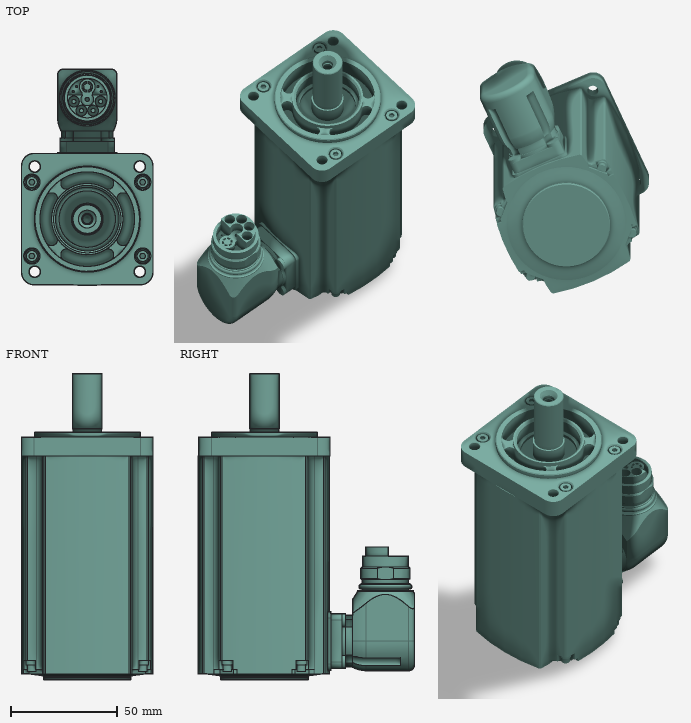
import cadquery as cq
import math

TOTAL_HEIGHT = 144.5
SHAFT_LENGTH = 30.0
FLANGE_TOP = TOTAL_HEIGHT - SHAFT_LENGTH
PILOT_HEIGHT = 2.5
PILOT_TOP = FLANGE_TOP + PILOT_HEIGHT
FLANGE_THICKNESS = 9.0
FLANGE_BOTTOM = FLANGE_TOP - FLANGE_THICKNESS
BODY_BOTTOM = 3.0

FLANGE_SIZE = 62.0
HALF_FLANGE = FLANGE_SIZE / 2
FLANGE_CORNER_RADIUS = 6.0
MOUNT_CIRCLE_DIAMETER = 70.0
MOUNT_HOLE_DIAMETER = 5.1
MOUNT_HOLE_CHAMFER = 0.2

PILOT_DIAMETER = 50.0
PILOT_CHAMFER = 0.4
RECESS_DIAMETER = 44.6
HUB_DIAMETER = 33.6
RIB_DROP = 2.0
POCKET_DEPTH = 9.0
POCKET_HALF_LENGTH = 12.4
POCKET_CORNER_RADIUS = 2.5
HUB_BORE_DIAMETER = 30.0
HUB_BORE_CHAMFER = 0.9
HUB_BORE_DEPTH = 7.0
SEAL_DIAMETER = 26.6
SEAL_DEPTH = 1.6

SHAFT_DIAMETER = 14.0
SHAFT_CHAMFER = 0.3
SHAFT_NECK_DIAMETER = 13.6
SHAFT_NECK_RISE = 1.2
SHAFT_NECK_TOP = PILOT_TOP + SHAFT_NECK_RISE
COLLAR_DIAMETER = 15.0
COLLAR_DROP = 0.6
COLLAR_TOP = PILOT_TOP - COLLAR_DROP
CENTRE_DRILL_DIAMETER = 4.3
CENTRE_DRILL_DEPTH = 14.0
CENTRE_BORE_DIAMETER = 5.3
CENTRE_BORE_DEPTH = 4.0
CENTRE_MOUTH_DIAMETER = 8.4
CENTRE_MOUTH_DEPTH = 2.2
DRILL_TIP_HALF_ANGLE = math.radians(59)

FACE_HALF_WIDTH = 19.7
FACE_EDGE = 28.85
BODY_SHIFT_Y = -0.3
NOTCH_WALL_INNER = 21.1
NOTCH_FLOOR = 23.8
NOTCH_MIDDLE = 21.85
FACE_EDGE_CHAMFER = 0.7

SCREW_X = 26.1
SCREW_Y = 17.4
COUNTERBORE_DIAMETER = 6.6
COUNTERBORE_MOUTH_DIAMETER = 7.7
COUNTERBORE_DEPTH = 3.0
SCREW_HEAD_DIAMETER = 5.2
SCREW_HEAD_RECESS = 0.4
SOCKET_ACROSS_CORNERS = 2.9
SOCKET_DEPTH = 1.5

COVER_DIAMETER = 41.4
COVER_CHAMFER = 0.4
COVER_GROOVE_DIAMETER = 40.6
COVER_GROOVE_BOTTOM = 1.0
COVER_GROOVE_TOP = 1.5
COVER_CONE_RADIUS = 28.0
COVER_CONE_BOTTOM = 2.0
TAB_TOP = 5.0
TAB_OUTER_X = 27.5
TAB_INNER_X = NOTCH_WALL_INNER
TAB_INNER_Y = 13.0
TAB_BEVEL_SUM = 42.0
SCREW_POCKET_TOP = 9.2
SCREW_POCKET_INNER_Y = 14.9
SCREW_POCKET_INNER_X = 24.4
SCREW_TIP_DIAMETER = 4.13
NUT_DIAMETER = 5.3
NUT_BOTTOM = 7.2

ELBOW_BACK = 70.7
ELBOW_FRONT = 41.6
ELBOW_RADIUS = 14.0
ELBOW_AXIS_Z = 18.4
ELBOW_TOP = 42.3
ELBOW_BACK_ROUND = 2.8
ELBOW_FRONT_ROUND_LENGTH = 6.2
ELBOW_FRONT_HALF_WIDTH = 12.4
PLUG_Y = 57.0
CONE_TOP_RADIUS = 12.75
CONE_SLOPE = 0.655
SHOULDER_RIM_DIAMETER = 26.4
SHOULDER_RIM_HEIGHT = 0.5

MOUNT_NECK_RADIUS = 12.2
PLATE_FRONT = 36.6
PLATE_HALF_SIZE = 12.95
PLATE_CORNER_RADIUS = 3.1
GASKET_HALF_SIZE = 13.9
GASKET_FRONT = 31.3
PLATE_BACK = 28.5
LUG_POSITION = 9.8
LUG_DIAMETER = 6.2
LUG_CLEARANCE_DIAMETER = 6.5
LUG_FRONT = 38.2
STEP_RADIUS = 12.6
CHANNEL_DIAMETER = 5.1
CHANNEL_END = 64.2

RING_Z = 44.0
RING_TUBE_RADIUS = 1.1
RING_RADIUS = 11.4
RING_COLLAR_DIAMETER = 23.2
RING_COLLAR_TOP = 45.6
PLUG_NECK_DIAMETER = 21.95
COUPLING_Z_BOTTOM = 47.3
COUPLING_Z_TOP = 53.3
COUPLING_ACROSS_FLATS = 22.0
COUPLING_DIAMETER = 23.3
COUPLING_EDGE_BREAK = 0.6
PLUG_DIAMETER = 21.55
PLUG_TOP = 58.4
PLUG_BORE_DIAMETER = 18.6
PLUG_FLOOR = 54.0

INSERT_TOP = 62.8
INSERT_EDGE_Y = 1.4
CONTACT_HOLE_DIAMETER = 5.1
CONTACT_PIN_DIAMETER = 1.99
CONTACT_POINTS = [(-6.3, -1.6), (6.3, -1.6), (-2.75, -5.9), (2.75, -5.9)]
CONTACT_PIN_TOP = 57.0
SIGNAL_HOLE_DIAMETER = 0.99
SIGNAL_HOLE_DEPTH = 3.0
SIGNAL_POINTS = [(-6.6, 3.1), (6.6, 3.1), (-5.0, 5.4), (5.0, 5.4)]
ISLAND_TOP = 57.5
ISLAND_NECK_HALF_WIDTH = 2.4
CENTRE_HUB_Y = -0.6
CENTRE_HUB_DIAMETER = 6.0
CENTRE_HOLE_DIAMETER = 1.99
CODING_Y = 5.3
CODING_DIAMETER = 5.1
CODING_ISLAND_DIAMETER = 7.4
CODING_PIN_DIAMETER = 3.2
CODING_KEYS = 6
CODING_KEY_WIDTH = 0.63

OVERLAP = 1.0


def cylinder(diameter, bottom, top, x=0, y=0):
    """Vertical cylinder between two heights."""
    return cq.Workplane(cq.Vector(x, y, bottom)).circle(diameter / 2).extrude(top - bottom)


def cylinder_along_y(diameter, start, end, x, z):
    """Horizontal cylinder along Y between two stations."""
    plane = cq.Plane(origin=(x, start, z), xDir=(1, 0, 0), normal=(0, 1, 0))
    return cq.Workplane(plane).circle(diameter / 2).extrude(end - start)


def cone(bottom_diameter, top_diameter, bottom, top, x=0, y=0):
    """Vertical cone frustum between two heights."""
    solid = cq.Solid.makeCone(bottom_diameter / 2, top_diameter / 2, top - bottom, cq.Vector(x, y, bottom))
    return cq.Workplane(solid)


def box(x_range, y_range, z_range):
    """Axis-aligned box from its limits."""
    (x0, x1), (y0, y1), (z0, z1) = x_range, y_range, z_range
    return cq.Workplane("XY").box(x1 - x0, y1 - y0, z1 - z0, centered=False).translate((x0, y0, z0))


def body():
    """Extruded housing: each quarter adds one bulged face and the corner notch after it."""
    chamfer_side = FACE_HALF_WIDTH + FACE_EDGE_CHAMFER
    chamfer_depth = FACE_EDGE - FACE_EDGE_CHAMFER
    quarter = [
        (FACE_HALF_WIDTH, FACE_EDGE),
        (chamfer_side, chamfer_depth),
        (NOTCH_WALL_INNER, NOTCH_FLOOR),
        (NOTCH_MIDDLE, NOTCH_MIDDLE),
        (NOTCH_FLOOR, NOTCH_WALL_INNER),
        (chamfer_depth, chamfer_side),
        (FACE_EDGE, FACE_HALF_WIDTH),
    ]

    def turned(point, turns):
        x, y = point
        for _ in range(turns):
            x, y = y, -x
        return x, y

    outline = cq.Workplane("XY", origin=(0, 0, BODY_BOTTOM)).moveTo(-FACE_HALF_WIDTH, FACE_EDGE)
    for turns in range(4):
        points = [turned(point, turns) for point in quarter]
        outline = outline.threePointArc(turned((0, HALF_FLANGE), turns), points[0])
        outline = outline.lineTo(*points[1]).lineTo(*points[2])
        outline = outline.threePointArc(points[3], points[4]).lineTo(*points[5])
        if turns < 3:
            outline = outline.lineTo(*points[6])
    housing = outline.close().extrude(FLANGE_BOTTOM - BODY_BOTTOM)
    return housing.translate((0, BODY_SHIFT_Y, 0))


def recess_pockets():
    """Four deep pockets in the annular recess, left apart by ribs on the diagonals."""
    ring = cylinder(RECESS_DIAMETER, PILOT_TOP - POCKET_DEPTH, PILOT_TOP)
    ring = ring.cut(cylinder(HUB_DIAMETER, PILOT_TOP - POCKET_DEPTH, PILOT_TOP))
    across = box(
        (-POCKET_HALF_LENGTH, POCKET_HALF_LENGTH),
        (-HALF_FLANGE, HALF_FLANGE),
        (PILOT_TOP - POCKET_DEPTH, PILOT_TOP),
    )
    front_back_pair = ring.intersect(across).edges("|Z").fillet(POCKET_CORNER_RADIUS)
    return front_back_pair.union(front_back_pair.rotate((0, 0, 0), (0, 0, 1), 90))


def flange():
    plate = cq.Workplane("XY", origin=(0, 0, FLANGE_BOTTOM)).rect(FLANGE_SIZE, FLANGE_SIZE)
    plate = plate.extrude(FLANGE_THICKNESS).edges("|Z").fillet(FLANGE_CORNER_RADIUS)
    pilot = cylinder(PILOT_DIAMETER, FLANGE_TOP - OVERLAP, PILOT_TOP).faces(">Z").chamfer(PILOT_CHAMFER)
    return plate.union(pilot)


def cut_flange_recesses(part):
    recess = cylinder(RECESS_DIAMETER, PILOT_TOP - RIB_DROP, PILOT_TOP)
    recess = recess.cut(cylinder(HUB_DIAMETER, PILOT_TOP - RIB_DROP, PILOT_TOP))
    bore_floor = PILOT_TOP - HUB_BORE_DEPTH
    bore_mouth = cone(
        HUB_BORE_DIAMETER,
        HUB_BORE_DIAMETER + 2 * HUB_BORE_CHAMFER,
        PILOT_TOP - HUB_BORE_CHAMFER,
        PILOT_TOP,
    )
    part = part.cut(recess).cut(recess_pockets()).cut(bore_mouth)
    part = part.cut(cylinder(HUB_BORE_DIAMETER, bore_floor, PILOT_TOP))
    return part.cut(cylinder(SEAL_DIAMETER, bore_floor - SEAL_DEPTH, PILOT_TOP))


def cut_mount_holes(part):
    spacing = MOUNT_CIRCLE_DIAMETER / math.sqrt(2)
    holes = cq.Workplane("XY").rect(spacing, spacing, forConstruction=True).vertices()
    part = part.cut(holes.circle(MOUNT_HOLE_DIAMETER / 2).extrude(TOTAL_HEIGHT))
    mouth = MOUNT_HOLE_DIAMETER + 2 * MOUNT_HOLE_CHAMFER
    for side_x in (-1, 1):
        for side_y in (-1, 1):
            x = side_x * spacing / 2
            y = side_y * spacing / 2
            lead_in = cone(MOUNT_HOLE_DIAMETER, mouth, FLANGE_TOP - MOUNT_HOLE_CHAMFER, FLANGE_TOP, x, y)
            part = part.cut(lead_in)
    return part


def add_flange_screw(part, x, y):
    """Countersunk counterbore holding a socket head screw."""
    head_top = FLANGE_TOP - SCREW_HEAD_RECESS
    floor = FLANGE_TOP - COUNTERBORE_DEPTH
    lead_in = (COUNTERBORE_MOUTH_DIAMETER - COUNTERBORE_DIAMETER) / 2
    mouth = cone(COUNTERBORE_DIAMETER, COUNTERBORE_MOUTH_DIAMETER, FLANGE_TOP - lead_in, FLANGE_TOP, x, y)
    part = part.cut(mouth).cut(cylinder(COUNTERBORE_DIAMETER, floor, FLANGE_TOP, x, y))
    head = cylinder(SCREW_HEAD_DIAMETER, floor - OVERLAP, head_top, x, y)
    socket = cq.Workplane(cq.Vector(x, y, head_top - SOCKET_DEPTH))
    socket = socket.polygon(6, SOCKET_ACROSS_CORNERS).extrude(SOCKET_DEPTH)
    return part.union(head.cut(socket))


def add_rear_screw(part, side_x, side_y):
    """Pocket at the foot of a body corner with the cover tab, screw end and nut inside it."""

    def corner_box(x_limits, y_limits, z_limits):
        xs = sorted(side_x * value for value in x_limits)
        ys = sorted(side_y * value for value in y_limits)
        return box(xs, ys, z_limits)

    pocket = corner_box(
        (SCREW_POCKET_INNER_X, HALF_FLANGE),
        (SCREW_POCKET_INNER_Y, NOTCH_FLOOR),
        (TAB_TOP, SCREW_POCKET_TOP),
    )
    tab_recess = corner_box(
        (TAB_INNER_X, HALF_FLANGE), (TAB_INNER_Y, NOTCH_FLOOR), (BODY_BOTTOM, TAB_TOP)
    )
    tab_outline = [
        (TAB_INNER_X, TAB_INNER_Y),
        (TAB_OUTER_X, TAB_INNER_Y),
        (TAB_OUTER_X, TAB_BEVEL_SUM - TAB_OUTER_X),
        (TAB_INNER_X, TAB_BEVEL_SUM - TAB_INNER_X),
    ]
    tab = cq.Workplane("XY", origin=(0, 0, BODY_BOTTOM))
    tab = tab.polyline([(side_x * px, side_y * py) for px, py in tab_outline]).close()
    tab = tab.extrude(TAB_TOP - BODY_BOTTOM)
    x = side_x * SCREW_X
    y = side_y * SCREW_Y
    screw_end = cylinder(SCREW_TIP_DIAMETER, TAB_TOP - OVERLAP, SCREW_POCKET_TOP + OVERLAP, x, y)
    nut = cylinder(NUT_DIAMETER, NUT_BOTTOM, SCREW_POCKET_TOP, x, y)
    return part.cut(pocket).cut(tab_recess).union(tab).union(screw_end).union(nut)


def rear_cover():
    disc = cylinder(COVER_DIAMETER, 0, BODY_BOTTOM + OVERLAP).faces("<Z").chamfer(COVER_CHAMFER)
    groove = cylinder(COVER_DIAMETER, COVER_GROOVE_BOTTOM, COVER_GROOVE_TOP)
    groove = groove.cut(cylinder(COVER_GROOVE_DIAMETER, COVER_GROOVE_BOTTOM, COVER_GROOVE_TOP))
    skirt = cone(COVER_DIAMETER, 2 * COVER_CONE_RADIUS, COVER_CONE_BOTTOM, BODY_BOTTOM)
    return disc.cut(groove).union(skirt)


def shaft():
    collar_bottom = PILOT_TOP - HUB_BORE_DEPTH - SEAL_DEPTH - OVERLAP
    turned = cylinder(SHAFT_DIAMETER, SHAFT_NECK_TOP, TOTAL_HEIGHT).edges().chamfer(SHAFT_CHAMFER)
    turned = turned.union(cylinder(SHAFT_NECK_DIAMETER, COLLAR_TOP - OVERLAP, SHAFT_NECK_TOP + OVERLAP))
    turned = turned.union(cylinder(COLLAR_DIAMETER, collar_bottom, COLLAR_TOP))
    mouth = cone(CENTRE_BORE_DIAMETER, CENTRE_MOUTH_DIAMETER, TOTAL_HEIGHT - CENTRE_MOUTH_DEPTH, TOTAL_HEIGHT)
    bore = cylinder(CENTRE_BORE_DIAMETER, TOTAL_HEIGHT - CENTRE_BORE_DEPTH, TOTAL_HEIGHT)
    drill_bottom = TOTAL_HEIGHT - CENTRE_DRILL_DEPTH
    drill = cylinder(CENTRE_DRILL_DIAMETER, drill_bottom, TOTAL_HEIGHT)
    tip_length = CENTRE_DRILL_DIAMETER / 2 / math.tan(DRILL_TIP_HALF_ANGLE)
    tip = cone(0, CENTRE_DRILL_DIAMETER, drill_bottom - tip_length, drill_bottom)
    return turned.cut(mouth).cut(bore).cut(drill).cut(tip)


def elbow_half_outline(plane):
    """Half of the elbow's plan on the +X side: straight axis edge and rounded outer edge."""
    round_start = ELBOW_FRONT + ELBOW_FRONT_ROUND_LENGTH
    middle_y = ELBOW_FRONT + ELBOW_FRONT_ROUND_LENGTH / 2
    width_loss = ELBOW_RADIUS - ELBOW_FRONT_HALF_WIDTH
    middle_x = ELBOW_RADIUS - width_loss / 4
    corner = ELBOW_BACK_ROUND * (1 - math.sqrt(0.5))
    return (
        cq.Workplane(plane)
        .moveTo(0, ELBOW_FRONT)
        .lineTo(ELBOW_FRONT_HALF_WIDTH, ELBOW_FRONT)
        .threePointArc((middle_x, middle_y), (ELBOW_RADIUS, round_start))
        .lineTo(ELBOW_RADIUS, ELBOW_BACK - ELBOW_BACK_ROUND)
        .threePointArc(
            (ELBOW_RADIUS - corner, ELBOW_BACK - corner),
            (ELBOW_RADIUS - ELBOW_BACK_ROUND, ELBOW_BACK),
        )
        .lineTo(0, ELBOW_BACK)
        .close()
    )


def elbow():
    """Round below its horizontal axis, straight above it, with a conical shoulder on top."""
    plane = cq.Plane(origin=(0, 0, ELBOW_AXIS_Z), xDir=(1, 0, 0), normal=(0, 0, 1))
    lower = elbow_half_outline(plane).revolve(360, (0, 0, 0), (0, 1, 0))
    half = elbow_half_outline(plane).extrude(ELBOW_TOP - ELBOW_AXIS_Z)
    upper = half.union(half.mirror("YZ"))
    cone_height = ELBOW_TOP - ELBOW_AXIS_Z + ELBOW_RADIUS
    cone_bottom_radius = CONE_TOP_RADIUS + CONE_SLOPE * cone_height
    shoulder = cone(
        2 * cone_bottom_radius, 2 * CONE_TOP_RADIUS, ELBOW_TOP - cone_height, ELBOW_TOP, 0, PLUG_Y
    )
    housing = upper.intersect(shoulder).union(lower)
    rim = cylinder(SHOULDER_RIM_DIAMETER, ELBOW_TOP - SHOULDER_RIM_HEIGHT, ELBOW_TOP, 0, PLUG_Y)
    housing = housing.union(rim)
    for side in (-1, 1):
        x = side * LUG_POSITION
        z = ELBOW_AXIS_Z - LUG_POSITION
        housing = housing.cut(cylinder_along_y(CHANNEL_DIAMETER, ELBOW_FRONT, CHANNEL_END, x, z))
    return housing


def square_plate(half_size, start, end):
    plane = cq.Plane(origin=(0, start, ELBOW_AXIS_Z), xDir=(1, 0, 0), normal=(0, 1, 0))
    plate = cq.Workplane(plane).rect(2 * half_size, 2 * half_size).extrude(end - start)
    return plate.edges("|Y").fillet(PLATE_CORNER_RADIUS)


def connector_mount():
    """Gasket, square plate and notched neck that carry the elbow, with four screw heads."""
    mount = square_plate(GASKET_HALF_SIZE, PLATE_BACK, GASKET_FRONT)
    mount = mount.union(square_plate(PLATE_HALF_SIZE, PLATE_BACK, PLATE_FRONT))
    neck_start = PLATE_FRONT - OVERLAP
    neck_end = ELBOW_FRONT + OVERLAP
    neck = cylinder_along_y(2 * STEP_RADIUS, neck_start, LUG_FRONT, 0, ELBOW_AXIS_Z)
    neck = neck.union(cylinder_along_y(2 * MOUNT_NECK_RADIUS, neck_start, neck_end, 0, ELBOW_AXIS_Z))
    mount = mount.union(neck)
    for side_x in (-1, 1):
        for side_z in (-1, 1):
            x = side_x * LUG_POSITION
            z = ELBOW_AXIS_Z + side_z * LUG_POSITION
            mount = mount.cut(cylinder_along_y(LUG_CLEARANCE_DIAMETER, PLATE_FRONT, neck_end, x, z))
            mount = mount.union(cylinder_along_y(LUG_DIAMETER, neck_start, LUG_FRONT, x, z))
    return mount


def coupling_nut():
    """Round nut with two wrench flats facing -X and +X."""
    nut = cylinder(COUPLING_DIAMETER, COUPLING_Z_BOTTOM, COUPLING_Z_TOP, 0, PLUG_Y)
    nut = nut.edges().chamfer(COUPLING_EDGE_BREAK)
    flats = box(
        (-COUPLING_ACROSS_FLATS / 2, COUPLING_ACROSS_FLATS / 2),
        (PLUG_Y - COUPLING_DIAMETER, PLUG_Y + COUPLING_DIAMETER),
        (COUPLING_Z_BOTTOM, COUPLING_Z_TOP),
    )
    return nut.intersect(flats)


def plug_shell():
    shell = cylinder(PLUG_NECK_DIAMETER, ELBOW_TOP - OVERLAP, COUPLING_Z_TOP, 0, PLUG_Y)
    shell = shell.union(cylinder(RING_COLLAR_DIAMETER, RING_Z, RING_COLLAR_TOP, 0, PLUG_Y))
    shell = shell.union(cylinder(PLUG_DIAMETER, COUPLING_Z_BOTTOM, PLUG_TOP, 0, PLUG_Y))
    ring = cq.Solid.makeTorus(RING_RADIUS, RING_TUBE_RADIUS, cq.Vector(0, PLUG_Y, RING_Z))
    shell = shell.union(cq.Workplane(ring)).union(coupling_nut())
    return shell.cut(cylinder(PLUG_BORE_DIAMETER, PLUG_FLOOR, PLUG_TOP, 0, PLUG_Y))


def contact_insert():
    """Raised power half hollowed around a lower island that carries the coding pin."""
    power_limit = box(
        (-PLUG_DIAMETER, PLUG_DIAMETER),
        (PLUG_Y - PLUG_DIAMETER, PLUG_Y + INSERT_EDGE_Y),
        (PLUG_FLOOR - OVERLAP, INSERT_TOP),
    )
    power_half = cylinder(PLUG_BORE_DIAMETER, PLUG_FLOOR - OVERLAP, INSERT_TOP, 0, PLUG_Y)
    power_half = power_half.intersect(power_limit)
    hub_y = PLUG_Y + CENTRE_HUB_Y
    coding_y = PLUG_Y + CODING_Y
    power_half = power_half.cut(cylinder(CENTRE_HUB_DIAMETER, ISLAND_TOP, INSERT_TOP, 0, hub_y))
    neck = box(
        (-ISLAND_NECK_HALF_WIDTH, ISLAND_NECK_HALF_WIDTH),
        (hub_y, coding_y),
        (PLUG_FLOOR - OVERLAP, ISLAND_TOP),
    )
    island = cylinder(CODING_ISLAND_DIAMETER, PLUG_FLOOR - OVERLAP, ISLAND_TOP, 0, coding_y).union(neck)
    return power_half.union(island)


def coding_ring():
    """Annular slot around the coding pin with narrow keys left standing across it."""
    y = PLUG_Y + CODING_Y
    slot = cylinder(CODING_DIAMETER, PLUG_FLOOR, ISLAND_TOP, 0, y)
    slot = slot.cut(cylinder(CODING_PIN_DIAMETER, PLUG_FLOOR, ISLAND_TOP, 0, y))
    reach = CODING_DIAMETER / 2
    key = box((0, reach), (-CODING_KEY_WIDTH / 2, CODING_KEY_WIDTH / 2), (PLUG_FLOOR, ISLAND_TOP))
    for index in range(CODING_KEYS):
        turned_key = key.rotate((0, 0, 0), (0, 0, 1), 360 * (index + 0.5) / CODING_KEYS)
        slot = slot.cut(turned_key.translate((0, y, 0)))
    return slot


def cut_contacts(part):
    for dx, dy in CONTACT_POINTS:
        hole = cylinder(CONTACT_HOLE_DIAMETER, PLUG_FLOOR, INSERT_TOP, dx, PLUG_Y + dy)
        pin = cylinder(CONTACT_PIN_DIAMETER, PLUG_FLOOR, CONTACT_PIN_TOP, dx, PLUG_Y + dy)
        part = part.cut(hole.cut(pin))
    signal_bottom = PLUG_FLOOR - SIGNAL_HOLE_DEPTH
    for dx, dy in SIGNAL_POINTS:
        part = part.cut(cylinder(SIGNAL_HOLE_DIAMETER, signal_bottom, PLUG_FLOOR, dx, PLUG_Y + dy))
    centre_hole = cylinder(CENTRE_HOLE_DIAMETER, PLUG_FLOOR, INSERT_TOP, 0, PLUG_Y + CENTRE_HUB_Y)
    return part.cut(centre_hole).cut(coding_ring())


result = body().union(flange())
result = cut_flange_recesses(result)
result = cut_mount_holes(result)
for sx in (-1, 1):
    for sy in (-1, 1):
        result = add_flange_screw(result, sx * SCREW_X, sy * SCREW_Y)
        result = add_rear_screw(result, sx, sy)
result = result.union(rear_cover())
result = result.union(shaft())
for connector_part in (connector_mount(), elbow(), plug_shell(), contact_insert()):
    result = result.union(connector_part)
result = cut_contacts(result)